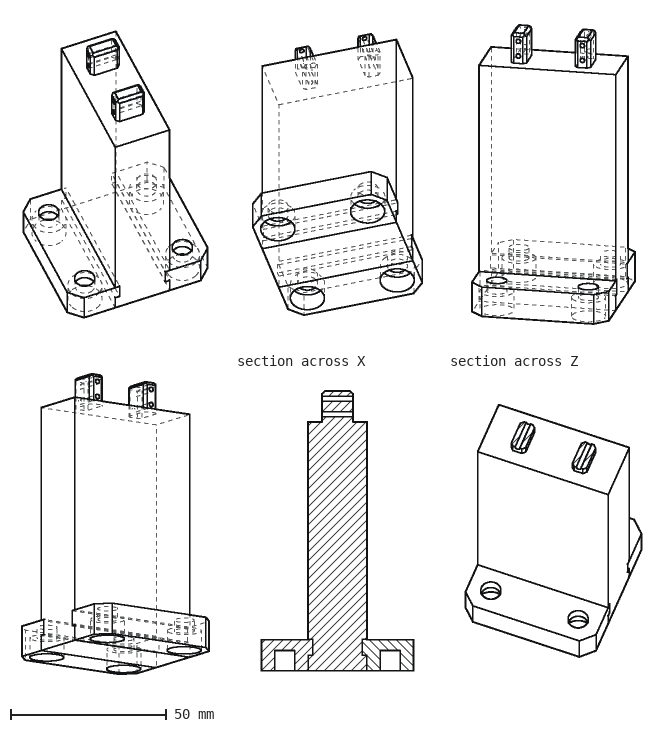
import cadquery as cq

width = 45.0
depth = 49.0
height = 90.0

block_thickness = 19.0
tab_height = 10.0
tab_width = 5.0
tab_depth = 10.0
tab_offset = 10.5
tab_chamfer = 1.0
tab_hole_diameter = 1.4
block_height = height - tab_height
tab_hole_heights = (block_height + tab_height / 4, block_height + 3 * tab_height / 4)

flange_height = 10.0
tongue_height = flange_height / 2
tongue_depth = 1.5
corner_chamfer = 4.1
bolt_diameter = 6.5
bolt_seat_depth = 3.5
counterbore_diameter = 11.0
bolt_x = 15.0
bolt_y = 17.0

tongue_bottom = flange_height - tongue_height
block_face = block_thickness / 2
groove_floor = block_face - tongue_depth


def make_tab(x):
    """Upright tab, chamfered on its top and then its vertical edges, with two cross holes along Y."""
    tab = (
        cq.Workplane("XY", origin=(x, 0, block_height))
        .box(tab_width, tab_depth, tab_height, centered=(True, True, False))
        .faces(">Z")
        .chamfer(tab_chamfer)
        .edges("|Z")
        .chamfer(tab_chamfer)
    )
    holes = (
        cq.Workplane("XZ")
        .pushPoints([(x, z) for z in tab_hole_heights])
        .circle(tab_hole_diameter / 2)
        .extrude(tab_depth, both=True)
    )
    return tab.cut(holes)


def make_block():
    """Block grooved along both long faces, with its tabs formed in one piece."""
    block = cq.Workplane("XY").box(width, block_thickness, block_height, centered=(True, True, False))
    for side in (-1, 1):
        groove = cq.Workplane("XY", origin=(0, side * (block_face - tongue_depth / 2), tongue_bottom)).box(
            width, tongue_depth, tongue_height, centered=(True, True, False)
        )
        block = block.cut(groove)
    for x in (-tab_offset, tab_offset):
        block = block.union(make_tab(x))
    return block


def make_flange(side):
    """Flange on the -Y (side = -1) or +Y (side = 1) face of the block."""
    flange = (
        cq.Workplane("YZ")
        .moveTo(side * block_face, 0)
        .lineTo(side * depth / 2, 0)
        .lineTo(side * depth / 2, flange_height)
        .lineTo(side * groove_floor, flange_height)
        .lineTo(side * groove_floor, tongue_bottom)
        .lineTo(side * block_face, tongue_bottom)
        .close()
        .extrude(width / 2, both=True)
    )
    outer_face = ">Y" if side > 0 else "<Y"
    flange = flange.faces(outer_face).edges("|Z").chamfer(corner_chamfer)
    bolt_centres = cq.Workplane("XY").pushPoints([(-bolt_x, side * bolt_y), (bolt_x, side * bolt_y)])
    bolt_holes = bolt_centres.circle(bolt_diameter / 2).extrude(flange_height)
    counterbores = bolt_centres.circle(counterbore_diameter / 2).extrude(flange_height - bolt_seat_depth)
    return flange.cut(bolt_holes).cut(counterbores)


block = make_block()
flanges = [make_flange(side) for side in (-1, 1)]

result = cq.Compound.makeCompound([block.val(), *[flange.val() for flange in flanges]])